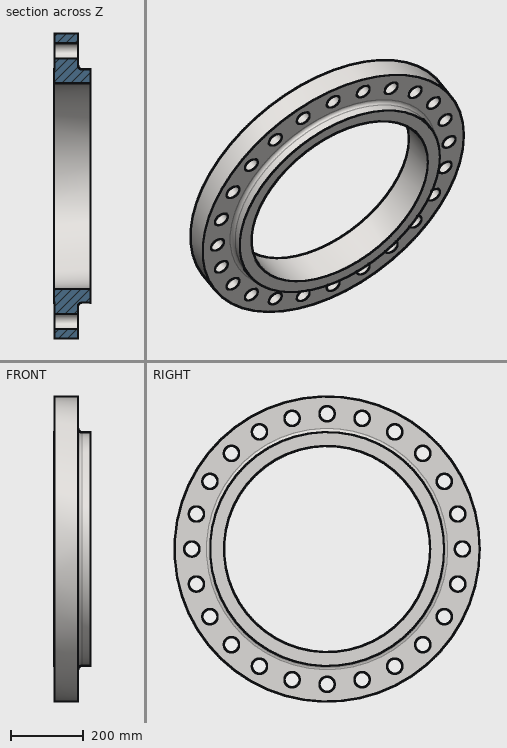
import cadquery as cq

flange_diameter = 838.0
bore_diameter = 565.0
total_length = 101.5

face_diameter = 642.0
face_height = 2.0

flange_thickness = 65.0
flange_back = face_height + flange_thickness

hub_diameter = 642.0
hub_fillet = 10.0

bolt_count = 24
bolt_circle_diameter = 743.0
bolt_hole_diameter = 41.0


def disc(diameter, start, end):
    """Solid disc about the X axis between two X positions."""
    return cq.Workplane("YZ", origin=(start, 0, 0)).circle(diameter / 2).extrude(end - start)


def bolt_holes():
    """Cutters for the bolt holes, running the full length of the part."""
    return (
        cq.Workplane("YZ")
        .polarArray(bolt_circle_diameter / 2, 0, 360, bolt_count)
        .circle(bolt_hole_diameter / 2)
        .extrude(total_length)
    )


def hub_root_fillet():
    """Ring of concave fillet between the flange back and the hub."""
    hub_radius = hub_diameter / 2
    overlap = hub_fillet / 2
    profile = (
        cq.Workplane("XY")
        .moveTo(flange_back, hub_radius - overlap)
        .lineTo(flange_back, hub_radius + hub_fillet)
        .radiusArc((flange_back + hub_fillet, hub_radius), -hub_fillet)
        .lineTo(flange_back + hub_fillet, hub_radius - overlap)
        .close()
    )
    return profile.revolve(360, (0, 0, 0), (1, 0, 0))


body = disc(face_diameter, 0, flange_back)
body = body.union(disc(flange_diameter, face_height, flange_back))
body = body.union(disc(hub_diameter, flange_back, total_length))
body = body.union(hub_root_fillet())

result = body.cut(disc(bore_diameter, 0, total_length)).cut(bolt_holes())